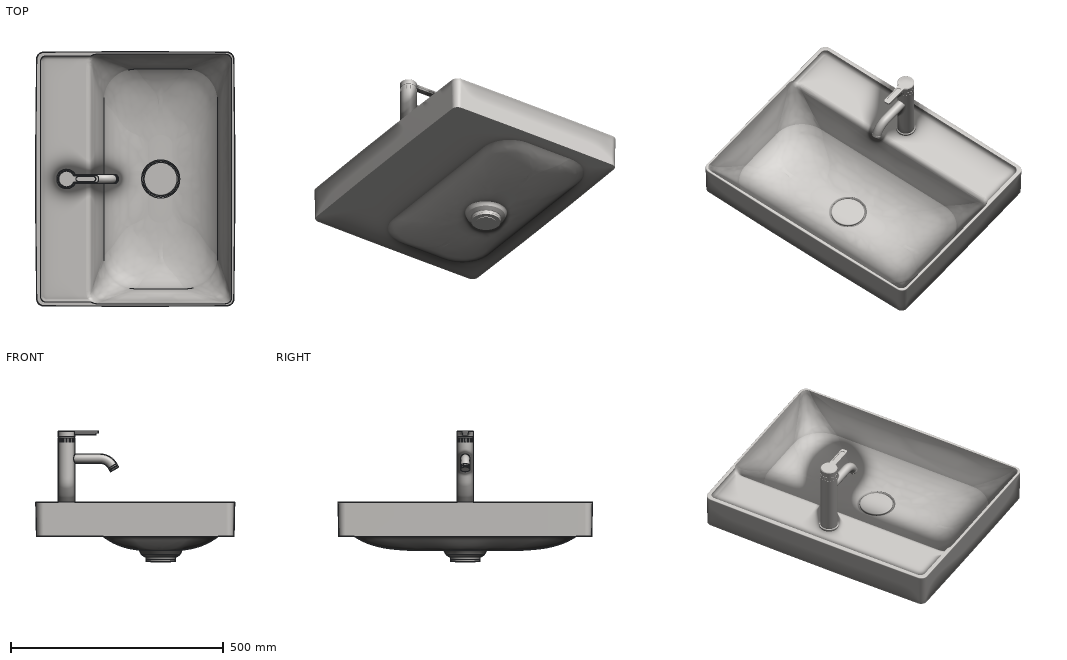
import cadquery as cq
import math

LENGTH_X = 469.9
WIDTH_Y = 600.3
TOTAL_HEIGHT = 309.02
FAUCET_TOP = 167.6
DRAIN_BOTTOM = FAUCET_TOP - TOTAL_HEIGHT

SIDE_BOW_X = 2.5
SIDE_BOW_Y = 1.0
CORNER_RADIUS = 17.0
SKIRT_DEPTH = 81.0
RIM_BAND = 4.0
SKIRT_DRAFT = 1.2
RIM_ROUNDING = 1.8
RIM_WIDTH = 5.0

BOWL_X = 60.0
INNER_HALF_X = LENGTH_X / 2 - SIDE_BOW_X - RIM_WIDTH
INNER_HALF_Y = WIDTH_Y / 2 - SIDE_BOW_Y - RIM_WIDTH
RIM_HALF_X = INNER_HALF_X - BOWL_X
RIM_HALF_Y = INNER_HALF_Y
BOWL_RIM_RADIUS = 15.0
FLOOR_HALF_X = 134.0
FLOOR_HALF_Y = 259.0
FLOOR_RADIUS = 75.0
WALL_DEPTH = 74.0
WALL_CURVE = 1.5
DISH_DEPTH = 34.0
DISH_CURVE_X = 3.0
DISH_CURVE_Y = 5.0
DISH_ROUNDNESS = 0.9
DISH_STEPS = (0.0, 0.25, 0.5, 0.75, 0.92, 0.99)
WALL_STEPS = (0.0, 0.35, 0.7, 1.0)
BULGE_HALF_X = 136.0
BULGE_HALF_Y = 262.0
FLAT_FLOOR_Z = -WALL_DEPTH - DISH_STEPS[-1] * DISH_DEPTH
FLAT_BOTTOM_Z = -SKIRT_DEPTH - DISH_STEPS[-1] * DISH_DEPTH

DECK_DEPTH = 11.0
DECK_INSET = 4.0
DECK_LIP_RADIUS = 8.0
DECK_CORNER_RADIUS = 13.0
DECK_EDGE_ROUNDING = 13.0
BOWL_LEFT = BOWL_X - RIM_HALF_X
EDGE_ZONE_HALF_Y = 50.0
EDGE_ZONE_LEFT = 5.0
EDGE_ZONE_RIGHT = 15.0
EDGE_ZONE_HALF_Z = 1.0

DRAIN_HOLE_RADIUS = 42.0
DRAIN_RIM_RADIUS = 45.0
COVER_RADIUS = 39.0
COVER_THICKNESS = 5.0
COVER_RISE = 1.0
COVER_ROUNDING = 2.0
COVER_SEAT_Z = FLAT_FLOOR_Z - COVER_THICKNESS + COVER_RISE
DRAIN_FLANGE_RADIUS = 50.0
DRAIN_SEAT_DEPTH = 2.0
DRAIN_SHOULDER_RADIUS = 45.5
DRAIN_SHOULDER_DEPTH = 9.0
DRAIN_CONE_END_RADIUS = 36.5
DRAIN_CONE_HEIGHT = 15.0
DRAIN_NECK_RADIUS = 35.0
DRAIN_NECK_STEP = 0.5
DRAIN_NECK_STEP_HEIGHT = 4.0
DRAIN_OUTLET_RADIUS = 23.0
DRAIN_OUTLET_HEIGHT = 1.5

FAUCET_X = -162.0
BODY_RADIUS = 20.0
BASE_RADIUS = 23.0
BASE_HEIGHT = 5.0
CAP_HEIGHT = 13.0
CAP_FACE_RADIUS = 36.9 / 2
RING_HEIGHT = 3.0
RING_RADIUS = 19.0
COLUMN_TOP = FAUCET_TOP - CAP_HEIGHT - RING_HEIGHT
COLUMN_SLOTS = 16
SLOT_WIDTH = 3.0
SLOT_DEPTH = 1.0
SLOT_HEIGHT = 10.0
MARK_RADIUS = 3.0
MARK_DEPTH = 1.0
ARM_REACH = 75.0
ARM_WIDTH = 16.0
ARM_THICKNESS = 9.0
ARM_TIP_RADIUS = 5.0
ARM_PLATE = 5.0
ARM_RIB_WIDTH = 14.0
ARM_RIB_REACH = 70.0
GROOVE_WIDTH = 11.0
GROOVE_DEPTH = 2.0
GROOVE_START = 22.0
GROOVE_END = 69.0

SPOUT_RADIUS = 11.0
SPOUT_Z = 102.4
SPOUT_STRAIGHT = 78.5
BEND_RADIUS = 34.5
BEND_ANGLE = 60.0
AERATOR_LENGTH = 9.5
AERATOR_GROOVE_WIDTH = 1.5
AERATOR_GROOVE_DEPTH = 0.8


def basin_outline():
    """Plan outline of the rim: a rectangle whose sides bulge slightly."""
    edge_x = LENGTH_X / 2
    edge_y = WIDTH_Y / 2
    corner_x = edge_x - SIDE_BOW_X
    corner_y = edge_y - SIDE_BOW_Y
    return (
        cq.Workplane("XY")
        .moveTo(-corner_x, -corner_y)
        .threePointArc((0, -edge_y), (corner_x, -corner_y))
        .threePointArc((edge_x, 0), (corner_x, corner_y))
        .threePointArc((0, edge_y), (-corner_x, corner_y))
        .threePointArc((-edge_x, 0), (-corner_x, -corner_y))
        .close()
    )


def bowl_section(half_x, half_y, radius, z):
    """A rounded rectangle around the bowl axis at height z."""
    section = cq.Sketch().rect(2 * half_x, 2 * half_y).vertices().fillet(radius)
    return section.moved(cq.Location(cq.Vector(BOWL_X, 0, z)))


def dish_sections(half_x, half_y, top_z):
    """Sections of a dish that flattens out towards its bottom."""
    sections = []
    for step in DISH_STEPS:
        size_x = half_x * (1 - step) ** (1 / DISH_CURVE_X)
        size_y = half_y * (1 - step) ** (1 / DISH_CURVE_Y)
        radius = min(FLOOR_RADIUS, DISH_ROUNDNESS * size_x)
        sections.append(bowl_section(size_x, size_y, radius, top_z - step * DISH_DEPTH))
    return sections


def wall_sections():
    """Sections of the bowl walls, from the rim down to the dished floor."""
    sections = []
    for step in WALL_STEPS:
        blend = step ** WALL_CURVE
        size_x = RIM_HALF_X + (FLOOR_HALF_X - RIM_HALF_X) * blend
        size_y = RIM_HALF_Y + (FLOOR_HALF_Y - RIM_HALF_Y) * blend
        radius = BOWL_RIM_RADIUS + (FLOOR_RADIUS - BOWL_RIM_RADIUS) * blend
        sections.append(bowl_section(size_x, size_y, radius, -step * WALL_DEPTH))
    return sections


def loft_sections(sections):
    return cq.Workplane("XY").placeSketch(*sections).loft()


def deck_pocket():
    """The sunken deck behind the bowl, with a concave lip along its three walls."""
    right = BOWL_LEFT + BOWL_RIM_RADIUS
    length = right + INNER_HALF_X - DECK_INSET
    width = 2 * (INNER_HALF_Y - DECK_INSET)
    pocket = (
        cq.Workplane("XY")
        .center(right - length / 2, 0)
        .rect(length, width)
        .extrude(-DECK_DEPTH)
        .edges("|Z and <X")
        .fillet(DECK_CORNER_RADIUS)
    )
    lip_edges = pocket.faces("<Z").edges("not >X")
    return lip_edges.fillet(DECK_LIP_RADIUS)


def drain_opening():
    """The hole through the bowl floor, flared at its upper edge."""
    flare_bottom = FLAT_FLOOR_Z - (DRAIN_RIM_RADIUS - DRAIN_HOLE_RADIUS)
    bottom = FLAT_BOTTOM_Z - DRAIN_SEAT_DEPTH
    top = FLAT_FLOOR_Z + DISH_DEPTH / 2
    return (
        cq.Workplane("XZ", origin=(BOWL_X, 0, 0))
        .moveTo(0, bottom)
        .lineTo(DRAIN_HOLE_RADIUS, bottom)
        .lineTo(DRAIN_HOLE_RADIUS, flare_bottom)
        .lineTo(DRAIN_RIM_RADIUS, FLAT_FLOOR_Z)
        .lineTo(DRAIN_RIM_RADIUS, top)
        .lineTo(0, top)
        .close()
        .revolve(360, (0, 0), (0, 1))
    )


def make_basin(drain):
    """The basin, with the bowl, the deck and a seat cut to fit the drain body."""
    band = basin_outline().extrude(-RIM_BAND).edges("|Z").fillet(CORNER_RADIUS)
    skirt_top = band.faces("<Z").wires().toPending()
    skirt = skirt_top.extrude(RIM_BAND - SKIRT_DEPTH, taper=SKIRT_DRAFT, combine=False)
    basin = band.union(skirt)
    basin = basin.faces(">Z").edges().fillet(RIM_ROUNDING)
    bulge = loft_sections(dish_sections(BULGE_HALF_X, BULGE_HALF_Y, -SKIRT_DEPTH))
    basin = basin.union(bulge)
    walls = loft_sections(wall_sections())
    floor = loft_sections(dish_sections(FLOOR_HALF_X, FLOOR_HALF_Y, -WALL_DEPTH))
    basin = basin.cut(walls).cut(floor).cut(deck_pocket())
    edge_zone = cq.selectors.BoxSelector(
        (BOWL_LEFT - EDGE_ZONE_LEFT, -EDGE_ZONE_HALF_Y, -DECK_DEPTH - EDGE_ZONE_HALF_Z),
        (BOWL_LEFT + EDGE_ZONE_RIGHT, EDGE_ZONE_HALF_Y, -DECK_DEPTH + EDGE_ZONE_HALF_Z),
    )
    basin = basin.edges(edge_zone).fillet(DECK_EDGE_ROUNDING)
    return basin.cut(drain_opening()).cut(drain)


def make_drain():
    """Drain body: a collar in the basin hole, a cone below it and a short neck."""
    seat_z = FLAT_BOTTOM_Z + DRAIN_SEAT_DEPTH
    cone_bottom = FLAT_BOTTOM_Z - DRAIN_CONE_HEIGHT
    neck_bottom = DRAIN_BOTTOM + DRAIN_OUTLET_HEIGHT
    neck_step_z = neck_bottom + DRAIN_NECK_STEP_HEIGHT
    return (
        cq.Workplane("XZ", origin=(BOWL_X, 0, 0))
        .moveTo(0, DRAIN_BOTTOM)
        .lineTo(DRAIN_OUTLET_RADIUS, DRAIN_BOTTOM)
        .lineTo(DRAIN_OUTLET_RADIUS, neck_bottom)
        .lineTo(DRAIN_NECK_RADIUS - DRAIN_NECK_STEP, neck_bottom)
        .lineTo(DRAIN_NECK_RADIUS - DRAIN_NECK_STEP, neck_step_z)
        .lineTo(DRAIN_NECK_RADIUS, neck_step_z)
        .lineTo(DRAIN_NECK_RADIUS, cone_bottom)
        .lineTo(DRAIN_CONE_END_RADIUS, cone_bottom)
        .lineTo(DRAIN_SHOULDER_RADIUS, FLAT_BOTTOM_Z - DRAIN_SHOULDER_DEPTH)
        .lineTo(DRAIN_FLANGE_RADIUS, FLAT_BOTTOM_Z)
        .lineTo(DRAIN_FLANGE_RADIUS, seat_z)
        .lineTo(DRAIN_HOLE_RADIUS, seat_z)
        .lineTo(DRAIN_HOLE_RADIUS, COVER_SEAT_Z)
        .lineTo(0, COVER_SEAT_Z)
        .close()
        .revolve(360, (0, 0), (0, 1))
    )


def make_drain_cover():
    """Round cover resting on the drain collar."""
    seat = cq.Workplane("XY", origin=(BOWL_X, 0, COVER_SEAT_Z))
    cover = seat.circle(COVER_RADIUS).extrude(COVER_THICKNESS)
    return cover.faces(">Z").edges().fillet(COVER_ROUNDING)


def faucet_plane(z):
    """A horizontal plane on the faucet axis at height z."""
    return cq.Workplane("XY", origin=(FAUCET_X, 0, z))


def make_base():
    return faucet_plane(-DECK_DEPTH).circle(BASE_RADIUS).extrude(BASE_HEIGHT)


def make_faucet_body():
    """The upright column, slotted around its top, with the bent spout tube."""
    bottom = BASE_HEIGHT - DECK_DEPTH
    column = faucet_plane(bottom).circle(BODY_RADIUS).extrude(COLUMN_TOP - bottom)
    slots = (
        faucet_plane(COLUMN_TOP - SLOT_HEIGHT)
        .polarArray(BODY_RADIUS, 0, 360, COLUMN_SLOTS)
        .rect(2 * SLOT_DEPTH, SLOT_WIDTH)
        .extrude(SLOT_HEIGHT)
    )
    bend = math.radians(BEND_ANGLE)
    half_bend = bend / 2
    path = (
        cq.Workplane("XZ", origin=(FAUCET_X, 0, SPOUT_Z))
        .lineTo(SPOUT_STRAIGHT, 0)
        .threePointArc(
            (SPOUT_STRAIGHT + BEND_RADIUS * math.sin(half_bend), -BEND_RADIUS * (1 - math.cos(half_bend))),
            (SPOUT_STRAIGHT + BEND_RADIUS * math.sin(bend), -BEND_RADIUS * (1 - math.cos(bend))),
        )
    )
    spout = cq.Workplane("YZ", origin=(FAUCET_X, 0, SPOUT_Z)).circle(SPOUT_RADIUS).sweep(path)
    return column.cut(slots).union(spout)


def make_aerator():
    """The grooved end piece of the spout, along the bent axis."""
    bend = math.radians(BEND_ANGLE)
    end = (
        FAUCET_X + SPOUT_STRAIGHT + BEND_RADIUS * math.sin(bend),
        0,
        SPOUT_Z - BEND_RADIUS * (1 - math.cos(bend)),
    )
    plane = cq.Plane(origin=end, xDir=(0, 1, 0), normal=(math.cos(bend), 0, -math.sin(bend)))
    aerator = cq.Workplane(plane).circle(SPOUT_RADIUS).extrude(AERATOR_LENGTH)
    groove = (
        cq.Workplane(plane)
        .workplane(offset=(AERATOR_LENGTH - AERATOR_GROOVE_WIDTH) / 2)
        .circle(SPOUT_RADIUS)
        .circle(SPOUT_RADIUS - AERATOR_GROOVE_DEPTH)
        .extrude(AERATOR_GROOVE_WIDTH)
    )
    return aerator.cut(groove)


def make_ring():
    """Thin ring between the slotted column and the lever cap."""
    return faucet_plane(COLUMN_TOP).circle(RING_RADIUS).extrude(RING_HEIGHT)


def lever_bar(reach, width, thickness):
    """A bar from the faucet axis to a rounded tip, flush with the top of the cap."""
    bar = (
        faucet_plane(FAUCET_TOP - thickness)
        .center(reach / 2, 0)
        .rect(reach, width)
        .extrude(thickness)
    )
    return bar.edges("|Z and >X").fillet(ARM_TIP_RADIUS)


def make_lever():
    """Round cap with a flat arm, grooved along its top."""
    cap_bottom = FAUCET_TOP - CAP_HEIGHT
    cap = faucet_plane(cap_bottom).circle(BODY_RADIUS).extrude(CAP_HEIGHT)
    cap = cap.faces(">Z").chamfer(BODY_RADIUS - CAP_FACE_RADIUS)
    mark = (
        cq.Workplane("YZ", origin=(FAUCET_X - BODY_RADIUS, 0, cap_bottom))
        .circle(MARK_RADIUS)
        .extrude(MARK_DEPTH)
    )
    plate = lever_bar(ARM_REACH, ARM_WIDTH, ARM_PLATE)
    rib = lever_bar(ARM_RIB_REACH, ARM_RIB_WIDTH, ARM_THICKNESS)
    groove_length = GROOVE_END - GROOVE_START
    groove = (
        faucet_plane(FAUCET_TOP - GROOVE_DEPTH)
        .center(GROOVE_START + groove_length / 2, 0)
        .slot2D(groove_length, GROOVE_WIDTH)
        .extrude(GROOVE_DEPTH)
    )
    return cap.cut(mark).union(plate).union(rib).cut(groove)


drain = make_drain()
basin = make_basin(drain)
drain_cover = make_drain_cover()
base = make_base()
faucet_body = make_faucet_body()
aerator = make_aerator()
ring = make_ring()
lever = make_lever()

bodies = (basin, drain, drain_cover, base, faucet_body, aerator, ring, lever)
result = cq.Compound.makeCompound([body.val() for body in bodies])